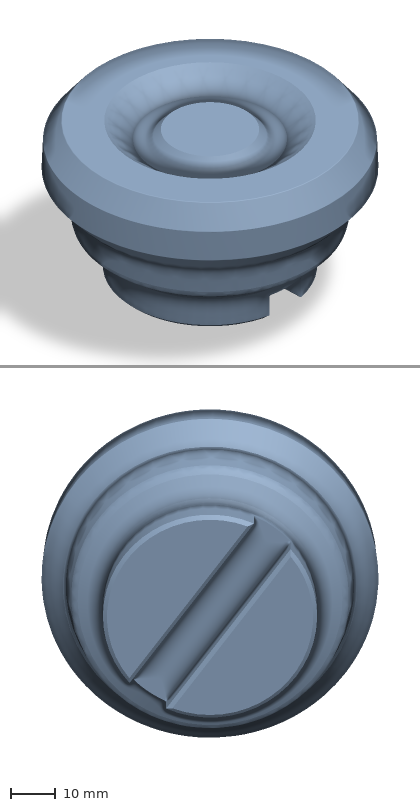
import math

import cadquery as cq

total_height = 40.0
flange_radius = 37.7
split_height = 21.9

cap_top_radius = 33.3
band_bottom_height = 27.3
band_top_height = 34.8
band_draft = math.radians(2.3)
flange_flare = math.radians(41.3)
rim_fillet = 0.3

corner_half_turn = (flange_flare + band_draft) / 2
corner_bisector_tilt = (flange_flare - band_draft) / 2
corner_trim = rim_fillet * (math.cos(corner_bisector_tilt) / math.cos(corner_half_turn) - 1)
band_bottom_radius = flange_radius + corner_trim
band_top_radius = band_bottom_radius - (band_top_height - band_bottom_height) * math.tan(band_draft)
cap_bottom_radius = band_bottom_radius - (band_bottom_height - split_height) * math.tan(flange_flare)

dish_radius = 23.7
dish_floor_radius = 17.3
dish_depth = 4.9
button_base_radius = 13.6
button_height = 2.6
button_top_radius = button_base_radius - button_height
button_root_fillet = 1.95

base_top_radius = 32.3
shoulder_radius = 30.9
shoulder_height = 13.05
shoulder_fillet = 3.0
neck_radius = 24.0
neck_height = 9.0
neck_fillet = 1.95
bottom_chamfer = 0.9

slot_width = 10.2
slot_depth = 6.2
slot_fillet = 0.5


def circle_edges(radius, height):
    """Box selector around a horizontal circular edge centred on the Z axis."""
    margin = 0.1
    reach = radius + margin
    return cq.selectors.BoxSelector(
        (-reach, -reach, height - margin), (reach, reach, height + margin), boundingbox=True
    )


def revolve_profile(points):
    """Turn a closed (radius, height) outline about the Z axis."""
    return cq.Workplane("XZ").polyline(points).close().revolve(360, (0, 0), (0, 1))


def make_cap():
    """Flanged cap with a conical dish and a raised button in its middle."""
    cap = revolve_profile([
        (0, split_height),
        (cap_bottom_radius, split_height),
        (band_bottom_radius, band_bottom_height),
        (band_top_radius, band_top_height),
        (cap_top_radius, total_height),
        (0, total_height),
    ])
    rim_circles = [
        (band_bottom_radius, band_bottom_height),
        (band_top_radius, band_top_height),
        (cap_top_radius, total_height),
    ]
    for radius, height in rim_circles:
        cap = cap.edges(circle_edges(radius, height)).fillet(rim_fillet)

    dish_floor_height = total_height - dish_depth
    button_top_height = dish_floor_height + button_height
    dish = revolve_profile([
        (0, total_height),
        (dish_radius, total_height),
        (dish_floor_radius, dish_floor_height),
        (button_base_radius, dish_floor_height),
        (button_top_radius, button_top_height),
        (0, button_top_height),
    ])
    cap = cap.cut(dish)
    return cap.edges(circle_edges(button_base_radius, dish_floor_height)).fillet(button_root_fillet)


def make_base():
    """Stepped base with a slot across its underside."""
    base = revolve_profile([
        (0, 0),
        (neck_radius, 0),
        (neck_radius, neck_height),
        (shoulder_radius, shoulder_height),
        (base_top_radius, split_height),
        (0, split_height),
    ])
    base = base.edges(circle_edges(shoulder_radius, shoulder_height)).fillet(shoulder_fillet)
    base = base.edges(circle_edges(neck_radius, neck_height)).fillet(neck_fillet)
    slot = (
        cq.Workplane("XY")
        .box(2 * flange_radius, slot_width, slot_depth, centered=(True, True, False))
        .edges("|X and >Z")
        .fillet(slot_fillet)
    )
    return base.cut(slot).faces("<Z").edges().chamfer(bottom_chamfer)


cap = make_cap()
base = make_base()
result = cq.Compound.makeCompound([cap.val(), base.val()])